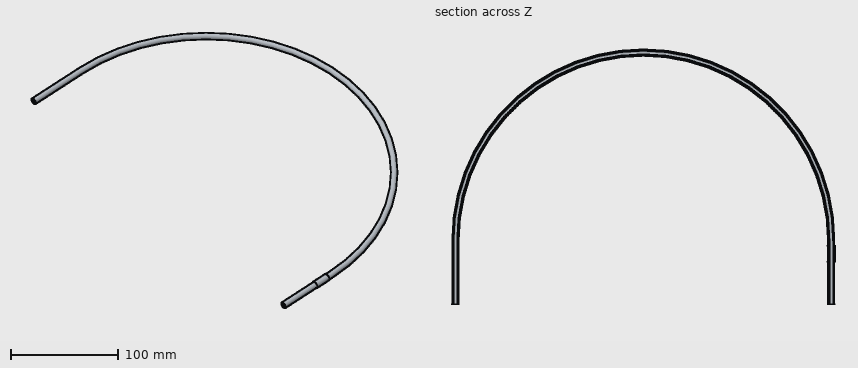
import cadquery as cq

overall_width = 356.8
overall_depth = 237.5
tube_diameter = 6.5
bore_diameter = 3.18
sleeve_diameter = 7.0
sleeve_length = 15.0
sleeve_gap = 5.0

bend_radius = (overall_width - tube_diameter / 2 - sleeve_diameter / 2) / 2
leg_length = overall_depth - bend_radius - tube_diameter / 2


def bent_rod(diameter):
    """Round rod along the hoop: straight leg, half-circle bend, straight leg."""
    centre_line = (
        cq.Workplane("XY")
        .moveTo(-bend_radius, -leg_length)
        .lineTo(-bend_radius, 0)
        .threePointArc((0, bend_radius), (bend_radius, 0))
        .lineTo(bend_radius, -leg_length)
    )
    return (
        cq.Workplane("XZ", origin=(-bend_radius, -leg_length, 0))
        .circle(diameter / 2)
        .sweep(centre_line)
    )


def sleeve():
    """Collar around the +X leg, running toward its open end."""
    return (
        cq.Workplane("XZ", origin=(bend_radius, -sleeve_gap, 0))
        .circle(sleeve_diameter / 2)
        .extrude(sleeve_length)
    )


result = bent_rod(tube_diameter).union(sleeve()).cut(bent_rod(bore_diameter))